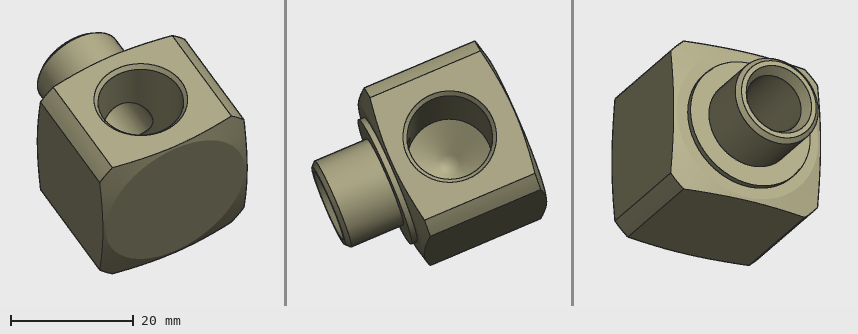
import cadquery as cq
import math

total_length = 33.0
body_length = 22.0
collar_length = 1.0
spigot_length = total_length - body_length - collar_length
body_start = spigot_length + collar_length

body_width = 27.0
corner_diameter = 34.98
end_face_diameter = 26.0
end_cone_angle = 15.0

collar_diameter = 22.0
thread_diameter = 15.25
thread_chamfer = 0.75

bore_diameter = 10.0
flare_diameter = 12.0
flare_half_angle = 30.0

port_x = 21.5
port_diameter = 13.93
port_mouth_diameter = thread_diameter
port_bottom_z = -bore_diameter / 2
drill_point_angle = 118.0


def turned(profile, axis_end):
    """Revolve a closed XZ profile about the line from its first point towards axis_end."""
    sketch = cq.Workplane("XZ").polyline(profile).close()
    return sketch.revolve(360, profile[0], axis_end)


def make_body():
    end_radius = end_face_diameter / 2
    corner_radius = corner_diameter / 2
    cone_length = (corner_radius - end_radius) * math.tan(math.radians(end_cone_angle))
    bar = cq.Workplane("YZ").workplane(offset=body_start).rect(body_width, body_width).extrude(body_length)
    envelope = turned(
        [
            (body_start, 0),
            (body_start, end_radius),
            (body_start + cone_length, corner_radius),
            (total_length - cone_length, corner_radius),
            (total_length, end_radius),
            (total_length, 0),
        ],
        (total_length, 0),
    )
    return bar.intersect(envelope)


def make_collar():
    return cq.Workplane("YZ").workplane(offset=spigot_length).circle(collar_diameter / 2).extrude(collar_length)


def make_spigot():
    spigot = cq.Workplane("YZ").circle(thread_diameter / 2).extrude(spigot_length)
    return spigot.faces("<X").chamfer(thread_chamfer)


def make_bore():
    bore_radius = bore_diameter / 2
    flare_radius = flare_diameter / 2
    flare_length = (flare_radius - bore_radius) / math.tan(math.radians(flare_half_angle))
    return turned(
        [(0, 0), (0, flare_radius), (flare_length, bore_radius), (port_x, bore_radius), (port_x, 0)],
        (port_x, 0),
    )


def make_port():
    top_z = body_width / 2
    port_radius = port_diameter / 2
    mouth_radius = port_mouth_diameter / 2
    mouth_depth = mouth_radius - port_radius
    point_depth = port_radius / math.tan(math.radians(drill_point_angle / 2))
    return turned(
        [
            (port_x, top_z),
            (port_x + mouth_radius, top_z),
            (port_x + port_radius, top_z - mouth_depth),
            (port_x + port_radius, port_bottom_z),
            (port_x, port_bottom_z - point_depth),
        ],
        (port_x, 0),
    )


solid_elbow = make_body().union(make_collar()).union(make_spigot())
result = solid_elbow.cut(make_bore()).cut(make_port())